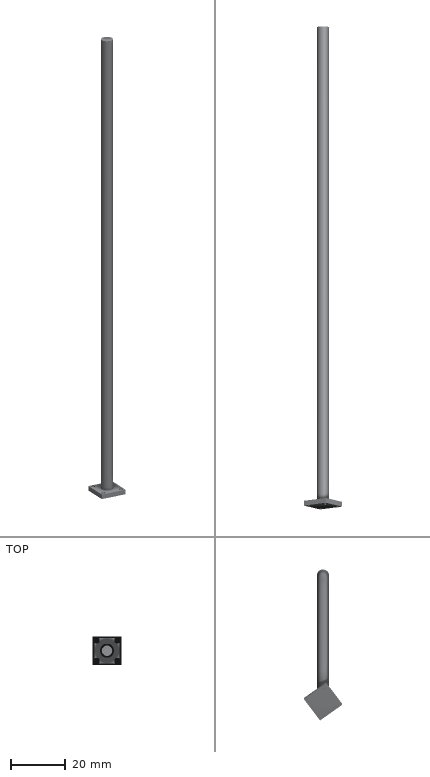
import cadquery as cq

total_height = 180.0
flange_side = 10.0
flange_thickness = 1.8
rod_diameter = 4.5

screw_pitch = 7.5
recess_diameter = 1.6
recess_depth = 0.5
pin_diameter = 0.7
pin_protrusion = 0.4

flange_bottom = pin_protrusion
flange_top = flange_bottom + flange_thickness


def corner_cylinders(diameter, bottom, top):
    """Four upright cylinders, one at each screw position."""
    return (
        cq.Workplane("XY", origin=(0, 0, bottom))
        .rect(screw_pitch, screw_pitch, forConstruction=True)
        .vertices()
        .circle(diameter / 2)
        .extrude(top - bottom)
    )


flange = (
    cq.Workplane("XY", origin=(0, 0, flange_bottom))
    .rect(flange_side, flange_side)
    .extrude(flange_thickness)
)

rod = (
    cq.Workplane("XY", origin=(0, 0, flange_top))
    .circle(rod_diameter / 2)
    .extrude(total_height - flange_top)
)

recesses = corner_cylinders(recess_diameter, flange_top - recess_depth, flange_top)
pins = corner_cylinders(pin_diameter, 0, flange_top)

result = flange.cut(recesses).union(pins).union(rod)